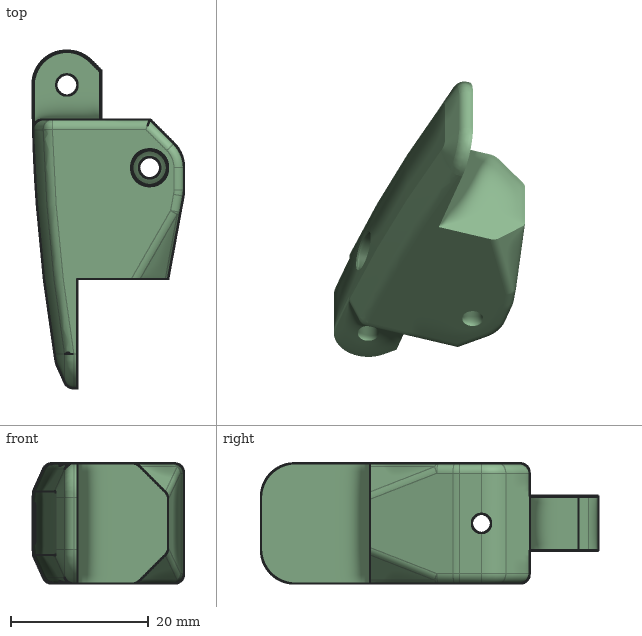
import cadquery as cq
import math

length = 49.0
width = 22.0
height = 17.5

lug_radius = 5.0
lug_thickness = 8.05
lug_edge_chamfer = 0.2
hinge_hole_radius = 1.5

face_radius = 240.05
body_front_y = -28.15
wall_inner_x = 1.5
screw_y = -12.0
nose_radius = 5.0
slope_start_y = -15.7
slope_end_x = 14.7
slope_blend_radius = 5.0

flat_half_width = 4.6
bevel_slope = 0.45
tip_corner_radius = 5.0
corner_cut_leg = 4.6
corner_cut_end_y = -16.35
edge_fillet = 1.45

screw_hole_radius = 1.5
screw_bore_radius = 2.5
side_hole_radius = 1.35
side_bore_radius = 2.75
bore_depth = 3.0
bore_chamfer = 0.2

clearance = 9.8
tolerance = 0.005

half_height = height / 2
outer_x = -lug_radius
body_right_x = outer_x + width
body_back_y = -lug_radius
tip_y = lug_radius - length
corner_center_y = tip_y + tip_corner_radius
screw_x = body_right_x - nose_radius
bevel_width = half_height - flat_half_width
bevel_depth = bevel_slope * bevel_width


def face_x(y):
    """X of the curved outer face at a given Y."""
    return outer_x + face_radius - math.sqrt(face_radius**2 - y**2)


tip_base_x = face_x(corner_center_y) + bevel_depth


def point_on_circle(center_x, center_y, radius, degrees):
    angle = math.radians(degrees)
    return (center_x + radius * math.cos(angle), center_y + radius * math.sin(angle))


def face_cylinder(half_length):
    """Large cylinder whose -X side is the curved outer face."""
    axis = cq.Workplane("XY", origin=(outer_x + face_radius, 0, 0))
    return axis.circle(face_radius).extrude(half_length, both=True)


def slab(start_y, end_y):
    """Box over the full width and height of the part between two Y places."""
    box = cq.Workplane("XY").box(2 * width, end_y - start_y, height)
    return box.translate((0, (start_y + end_y) / 2, 0))


def make_block():
    """Plain prism of the body and finger tab, with the two tip corners rounded."""
    nose_middle = point_on_circle(screw_x, screw_y, nose_radius, 22.5)
    nose_end = point_on_circle(screw_x, screw_y, nose_radius, 45)
    diagonal_end_x = nose_end[0] + nose_end[1] - body_back_y
    block = (
        cq.Workplane("XY")
        .moveTo(outer_x, body_back_y)
        .lineTo(outer_x, tip_y)
        .lineTo(wall_inner_x, tip_y)
        .lineTo(wall_inner_x, body_front_y)
        .lineTo(slope_end_x, body_front_y)
        .lineTo(body_right_x, slope_start_y)
        .lineTo(body_right_x, screw_y)
        .threePointArc(nose_middle, nose_end)
        .lineTo(diagonal_end_x, body_back_y)
        .close()
        .extrude(half_height, both=True)
    )
    block = block.faces("<Y").edges("|X").fillet(tip_corner_radius)
    slope_corner = cq.NearestToPointSelector((body_right_x, slope_start_y, 0))
    return block.edges(slope_corner).fillet(slope_blend_radius)


def make_tip_envelope():
    """Tapered end whose bevel runs round the tip and its two rounded corners."""
    outline_length = 2 * tip_corner_radius
    outline = (
        cq.Sketch()
        .push([(tip_y + outline_length / 2, 0)])
        .rect(outline_length, height)
        .reset()
        .vertices("<X")
        .fillet(tip_corner_radius)
    )
    base = cq.Workplane("YZ", origin=(tip_base_x, 0, 0)).placeSketch(outline)
    taper = math.degrees(math.atan(1 / bevel_slope))
    tip = base.extrude(-bevel_depth, taper=taper).union(base.extrude(clearance))
    return tip.intersect(slab(tip_y, corner_center_y)).intersect(face_cylinder(half_height))


def make_bevel_envelope():
    """Solid bounded on -X by the flat band, its side bevels and the bevel round the tip."""
    envelope = face_cylinder(flat_half_width)
    for side in (1, -1):
        center = cq.Vector(outer_x + face_radius, 0, side * flat_half_width)
        base = cq.Wire.makeCircle(face_radius, center, cq.Vector(0, 0, 1))
        slant = cq.Vector(bevel_depth, 0, side * bevel_width)
        envelope = envelope.union(cq.Workplane(cq.Solid.extrudeLinear(base, [], slant)))
    envelope = envelope.intersect(slab(corner_center_y, lug_radius + clearance))
    return envelope.union(make_tip_envelope())


def make_corner_cut(side):
    """Pyramid that slices off the front +X corner at the top (side 1) or bottom (side -1)."""
    z = side * half_height
    slope_share = (corner_cut_end_y - body_front_y) / (slope_start_y - body_front_y)
    end_x = slope_end_x + slope_share * (body_right_x - slope_end_x)
    corner = cq.Vector(slope_end_x, body_front_y, z)
    inward = cq.Vector(slope_end_x - corner_cut_leg, body_front_y, z)
    vertical = cq.Vector(slope_end_x, body_front_y, z - side * corner_cut_leg)
    along_slope = cq.Vector(end_x, corner_cut_end_y, z)
    triangles = (
        (inward, vertical, along_slope),
        (inward, vertical, corner),
        (vertical, along_slope, corner),
        (inward, along_slope, corner),
    )
    faces = [cq.Face.makeFromWires(cq.Wire.makePolygon(points, close=True)) for points in triangles]
    return cq.Workplane(cq.Solid.makeSolid(cq.Shell.makeShell(faces)))


def is_rounded(edge):
    """True for the top and bottom rims, the back end, the tip rim and the corner cuts."""
    center = edge.Center()

    def same(value, target):
        return abs(value - target) < tolerance

    in_notch = same(center.x, wall_inner_x) or same(center.y, body_front_y)
    on_rim = same(abs(center.z), half_height) and center.y > corner_center_y + tolerance
    on_back_end = same(center.y, body_back_y) and center.x < 0
    on_tip = same(center.x, tip_base_x) and center.y < corner_center_y
    on_corner_cut = same(center.y, (corner_cut_end_y + body_front_y) / 2) and center.x > slope_end_x
    return (on_rim and not in_notch) or on_back_end or on_tip or on_corner_cut


def make_lug(envelope):
    """Hinge lug: rounded end with a 45 degree flat on the +X side, edges lightly chamfered."""
    root_y = body_back_y - 2 * edge_fillet
    lug = (
        cq.Workplane("XY")
        .moveTo(outer_x, root_y)
        .lineTo(outer_x, 0)
        .threePointArc((0, lug_radius), point_on_circle(0, 0, lug_radius, 45))
        .lineTo(lug_radius, lug_radius * (math.sqrt(2) - 1))
        .lineTo(lug_radius, root_y)
        .close()
        .extrude(lug_thickness / 2, both=True)
    )
    return lug.intersect(envelope).faces("|Z").edges().chamfer(lug_edge_chamfer)


def cut_counterbored_hole(solid, plane, start, mouth, hole_radius, bore_radius):
    """Cut a through hole with a counterbore and chamfer the rim centred on mouth."""
    entry = cq.Workplane(plane, origin=start)
    drilled = solid.cut(entry.circle(hole_radius).extrude(-length))
    drilled = drilled.cut(entry.circle(bore_radius).extrude(-bore_depth))
    return drilled.edges(cq.NearestToPointSelector(mouth)).chamfer(bore_chamfer)


envelope = make_bevel_envelope()
body = make_block().intersect(envelope)
for side in (1, -1):
    body = body.cut(make_corner_cut(side))
rounded_edges = [edge for edge in body.edges().vals() if is_rounded(edge)]
body = body.newObject(rounded_edges).fillet(edge_fillet)

body = body.union(make_lug(envelope))
body = body.cut(cq.Workplane("XY").circle(hinge_hole_radius).extrude(lug_thickness, both=True))

side_start = (outer_x, screw_y, 0)
side_mouth = (face_x(screw_y), screw_y, 0)
body = cut_counterbored_hole(body, "ZY", side_start, side_mouth, side_hole_radius, side_bore_radius)

screw_mouth = (screw_x, screw_y, half_height)
body = cut_counterbored_hole(body, "XY", screw_mouth, screw_mouth, screw_hole_radius, screw_bore_radius)

result = body